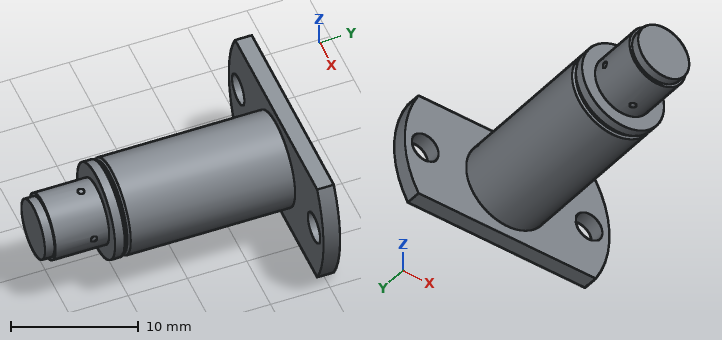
import cadquery as cq
import math

total_length = 22.0
rear_boss_length = 0.13
plate_thickness = 1.4
groove_width = 0.3
collar_length = 0.81
nose_length = 4.5
tip_length = 0.8

plate_diameter = 20.0
plate_height = 10.0
hole_diameter = 2.6
hole_spacing = 16.0

rear_boss_diameter = 8.6
barrel_diameter = 8.0
groove_diameter = 7.0
nose_diameter = 5.5
tip_diameter = 5.0
barrel_chamfer = 0.2

bump_count = 4
bump_from_tip = 4.03
bump_base_radius = 0.26
bump_height = 0.09

plate_front = -(rear_boss_length + plate_thickness)
tip_end = -total_length
nose_end = tip_end + tip_length
collar_front = nose_end + nose_length
collar_rear = collar_front + collar_length
barrel_end = collar_rear + groove_width


def cylinder(diameter, y_front, y_rear):
    """Solid cylinder about the Y axis between two Y positions."""
    length = y_rear - y_front
    return cq.Workplane("XZ", origin=(0, y_rear, 0)).circle(diameter / 2).extrude(length)


def mounting_plate():
    disc = cylinder(plate_diameter, plate_front, -rear_boss_length)
    flats = cq.Workplane("XY").box(plate_diameter, 2 * total_length, plate_height)
    holes = (
        cq.Workplane("XZ")
        .pushPoints([(-hole_spacing / 2, 0), (hole_spacing / 2, 0)])
        .circle(hole_diameter / 2)
        .extrude(total_length)
    )
    return disc.intersect(flats).cut(holes)


def turned_body():
    barrel = cylinder(barrel_diameter, barrel_end, plate_front).faces("<Y").chamfer(barrel_chamfer)
    return (
        barrel
        .union(cylinder(groove_diameter, collar_rear, barrel_end))
        .union(cylinder(barrel_diameter, collar_front, collar_rear))
        .union(cylinder(nose_diameter, nose_end, collar_front))
        .union(cylinder(tip_diameter, tip_end, nose_end))
    )


def nose_bumps():
    sphere_radius = (bump_base_radius**2 + bump_height**2) / (2 * bump_height)
    center_radius = nose_diameter / 2 + bump_height - sphere_radius
    bumps = cq.Workplane("XY")
    for index in range(bump_count):
        angle = 2 * math.pi * index / bump_count
        center = (
            center_radius * math.cos(angle),
            tip_end + bump_from_tip,
            center_radius * math.sin(angle),
        )
        bumps = bumps.add(cq.Workplane("XY").sphere(sphere_radius).translate(center))
    return bumps


rear_boss = cylinder(rear_boss_diameter, -rear_boss_length, 0)
result = mounting_plate().union(rear_boss).union(turned_body()).union(nose_bumps())